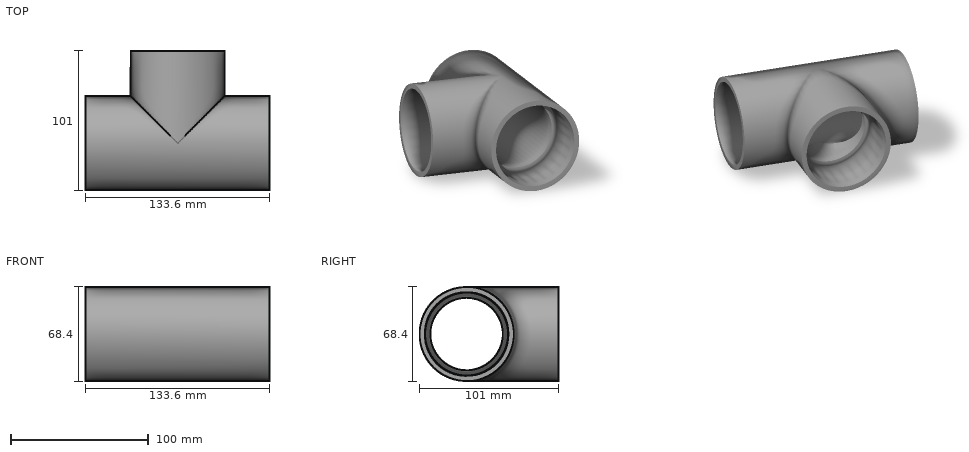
import cadquery as cq

run_length = 133.6
outer_diameter = 68.4
bore_diameter = 52.4
socket_mouth_diameter = 60.9
socket_root_diameter = 60.0
socket_depth = 34.5

half_run = run_length / 2
branch_length = half_run

run_start = cq.Plane(origin=(-half_run, 0, 0), xDir=(0, 1, 0), normal=(1, 0, 0))
branch_start = cq.Plane(origin=(0, 0, 0), xDir=(1, 0, 0), normal=(0, 1, 0))

mouth_planes = [
    run_start,
    cq.Plane(origin=(half_run, 0, 0), xDir=(0, 1, 0), normal=(-1, 0, 0)),
    cq.Plane(origin=(0, branch_length, 0), xDir=(1, 0, 0), normal=(0, -1, 0)),
]


def tee_of_cylinders(diameter):
    """Solid tee made of a full run and a branch from its axis."""
    run = cq.Workplane(run_start).circle(diameter / 2).extrude(run_length)
    branch = cq.Workplane(branch_start).circle(diameter / 2).extrude(branch_length)
    return run.union(branch)


def socket_cutter(mouth_plane):
    """Slightly tapered pipe socket, widest at the mouth."""
    return (
        cq.Workplane(mouth_plane)
        .circle(socket_mouth_diameter / 2)
        .workplane(offset=socket_depth)
        .circle(socket_root_diameter / 2)
        .loft(ruled=True)
    )


result = tee_of_cylinders(outer_diameter).cut(tee_of_cylinders(bore_diameter))
for mouth_plane in mouth_planes:
    result = result.cut(socket_cutter(mouth_plane))